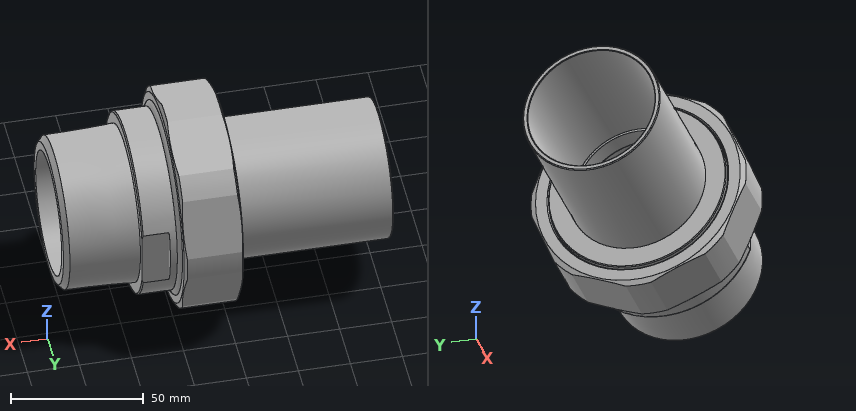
import cadquery as cq
import math

total_length = 127.0

tube_diameter = 54.0
tube_bore = 50.0
tail_bore = 48.3
tube_end_chamfer = 0.4
tube_bore_chamfer = 0.3
shoulder_start = 59.4
shoulder_diameter = 70.0
shoulder_chamfer = 0.4

nut_start = 60.5
nut_end = 83.3
nut_corner_diameter = 84.7
nut_across_flats = 81.5
nut_face_diameter = 80.5
nut_flats = 8
nut_chamfer_length = 0.9
nut_lip_bore = 70.5
nut_lip_length = 3.0
nut_bore = 74.4
nut_lip_chamfer = 0.5

flange_start = nut_start + nut_lip_length
seat_x = 67.3

male_bore = 48.0
shank_diameter = nut_bore
shank_chamfer_start = nut_end
shank_end = 84.1
shank_end_diameter = 72.6
collar_start = 84.8
collar_end = 98.0
collar_diameter = 70.0
collar_chamfer = 0.5
neck_end = 98.7
thread_large_diameter = 60.6
thread_small_diameter = 59.0
end_chamfer_start = 125.0
end_diameter = 54.6

flat_start = 87.5
across_collar_flats = 65.9
flat_fillet = 0.5


def revolve_about_x(profile):
    """Turn (x, diameter) points about the X axis."""
    points = [(x, diameter / 2) for x, diameter in profile]
    return cq.Workplane("XY").polyline(points).close().revolve(360, (0, 0, 0), (1, 0, 0))


def make_tailpiece():
    return revolve_about_x([
        (0, tube_bore + 2 * tube_bore_chamfer),
        (0, tube_diameter - 2 * tube_end_chamfer),
        (tube_end_chamfer, tube_diameter),
        (shoulder_start, tube_diameter),
        (shoulder_start, shoulder_diameter - 2 * shoulder_chamfer),
        (shoulder_start + shoulder_chamfer, shoulder_diameter),
        (flange_start, shoulder_diameter),
        (flange_start, nut_bore),
        (seat_x, nut_bore),
        (seat_x, tail_bore),
        (shoulder_start, tail_bore),
        (shoulder_start, tube_bore),
        (tube_bore_chamfer, tube_bore),
    ])


def make_nut():
    turned_blank = revolve_about_x([
        (nut_start, nut_lip_bore + 2 * nut_lip_chamfer),
        (nut_start, nut_face_diameter),
        (nut_start + nut_chamfer_length, nut_corner_diameter),
        (nut_end - nut_chamfer_length, nut_corner_diameter),
        (nut_end, nut_face_diameter),
        (nut_end, nut_bore),
        (flange_start, nut_bore),
        (flange_start, nut_lip_bore),
        (nut_start + nut_lip_chamfer, nut_lip_bore),
    ])
    corner_to_corner = nut_across_flats / math.cos(math.pi / nut_flats)
    octagon = (
        cq.Workplane("YZ", origin=(nut_start, 0, 0))
        .polygon(nut_flats, corner_to_corner)
        .extrude(nut_end - nut_start)
    )
    return turned_blank.intersect(octagon).solids()


def make_flat_cutter(side):
    """Block outside one spanner flat; side is -1 or +1 along Y."""
    length = collar_end - flat_start
    depth = collar_diameter / 2
    center_y = side * (across_collar_flats + depth) / 2
    block = cq.Workplane("XY").box(length, depth, collar_diameter)
    inner_edge = "<X and <Y" if side > 0 else "<X and >Y"
    block = block.edges(inner_edge).fillet(flat_fillet)
    return block.translate((flat_start + length / 2, center_y, 0))


def make_male_end():
    body = revolve_about_x([
        (seat_x, male_bore),
        (seat_x, shank_diameter),
        (shank_chamfer_start, shank_diameter),
        (shank_end, shank_end_diameter),
        (collar_start, collar_diameter),
        (collar_end - collar_chamfer, collar_diameter),
        (collar_end, collar_diameter - 2 * collar_chamfer),
        (collar_end, thread_large_diameter),
        (neck_end, thread_large_diameter),
        (end_chamfer_start, thread_small_diameter),
        (total_length, end_diameter),
        (total_length, male_bore),
    ])
    for side in (-1, 1):
        body = body.cut(make_flat_cutter(side))
    return body.solids()


tailpiece = make_tailpiece()
nut = make_nut()
male_end = make_male_end()

result = cq.Compound.makeCompound([tailpiece.val(), nut.val(), male_end.val()])